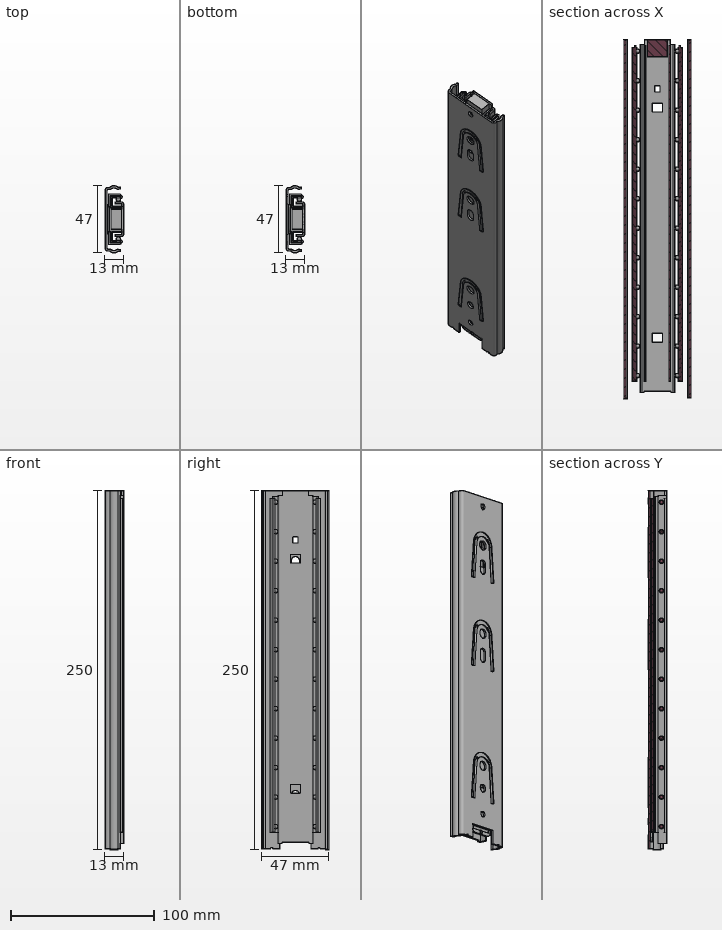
import cadquery as cq
import math


total_length = 250.0
total_width = 46.98
total_depth = 13.0

outer_wall = 1.4
outer_bottom = 0.7
outer_half_width = 22.2
outer_corner = 2.1
bulge_half_width = total_width / 2
bulge_start = 3.3
bulge_end = 9.0
lip_tip = 10.7
lip_tip_half_width = 22.4
bulge_inner_inset = 0.5
bulge_wall = 1.8
end_notch_width = 21.5
end_notch_height = 9.7
edge_nick_offset = 16.5
edge_nick_radius = 0.8

mount_hole_heights = (total_length - 35.2, total_length - 99.2, total_length - 195.2)
mount_hole_diameter = 6.6
slot_drop = 15.8
lowest_slot_drop = 16.3
slot_width = 5.5
slot_length = 10.2
pin_hole_diameter = 4.1
pin_hole_heights = (total_length - 7.1, total_length - 230.3)
arch_outer_radius = 9.6
arch_fold_radius = 8.0
arch_inner_radius = 6.5
arch_leg_angle = 4.9
arch_fold_angle = 3.3
arch_leg_length = 25.2
arch_foot_corner = 1.0
arch_crown_half_width = 5.6
arch_depth = 0.6

middle_base = 1.6
middle_side_base = 2.3
middle_step_half_width = 8.4
middle_step_run = 0.6
middle_wall = 1.4
middle_half_width = 17.6
middle_bottom = total_length - 237.8
middle_top = total_length - 5.3
middle_step_top = total_length - 7.0
middle_lip_tip = 12.2
middle_hook_start = 10.4
middle_hook_half_width = 15.7
middle_hook_end = 11.4
middle_hook_inner = 14.3
middle_hook_wall = 0.9
tongue_half_width = 10.2
tongue_corner = 4.0
tongue_bottom = total_length - 244.6
bead_half_length = 8.2
bead_radius = 1.2
bead_depth = 0.6
bead_height = total_length - 241.0
tongue_hole_diameter = 2.6
tongue_hole_height = tongue_bottom + 1.8

inner_wall = 1.4
inner_half_width = 12.1
inner_corner = 1.6
inner_arm_tip = 7.0
inner_bottom = total_length - 245.7
inner_web_bottom = total_length - 244.8
inner_web_recess_half_width = 9.3
inner_arm_top = total_length - 3.3
inner_tab_half_width = 9.0

upper_window_width = 3.5
upper_window_height = 4.2
upper_window_z = total_length - 34.3
lower_window_width = 7.0
lower_window_height = 6.0
lower_window_bottoms = (total_length - 50.3, total_length - 210.5)

retainer_base = 3.8
retainer_wall = 1.2
retainer_outer = 16.1
retainer_inner = 8.0
retainer_outer_tip = 10.4
retainer_inner_tip = 11.2
retainer_bottom = middle_bottom
retainer_top = total_length - 4.0
ball_radius = 1.6
ball_x = 9.3
ball_y = 13.8
ball_count = 12
ball_end_gap = 4.0

stop_base = 4.0
stop_half_width = 7.0
stop_height = 12.0


def mirrored(half):
    """Complete a profile half on the +Y side by its mirror image."""
    return half.union(half.mirror("XZ"))


def block(x_start, x_end, width, z_bottom, z_top):
    """Box between the given X and Z limits, centred on Y = 0."""
    return (
        cq.Workplane("XY")
        .box(x_end - x_start, width, z_top - z_bottom, centered=(False, True, False))
        .translate((x_start, 0, z_bottom))
    )


def web_plane(x, z):
    """Plane facing +X, with local x along +Y and local y along +Z."""
    return cq.Workplane("YZ", origin=(x, 0, z))


def arch_outline(radius, leg_angle, x, z):
    """Closed arch: round crown and two straight legs that spread downwards at the given angle."""
    angle = math.radians(leg_angle)
    tangent = (radius * math.cos(angle), radius * math.sin(angle))
    foot = radius / math.cos(angle) + arch_leg_length * math.tan(angle)
    return (
        web_plane(x, z)
        .moveTo(-foot, -arch_leg_length)
        .lineTo(-tangent[0], tangent[1])
        .threePointArc((0, radius), tangent)
        .lineTo(foot, -arch_leg_length)
        .close()
    )


def arch_groove(z):
    """U-shaped pressing around a mounting hole: sloped inner wall on the legs, plain crown."""
    band = arch_outline(arch_outer_radius, arch_leg_angle, 0, z).extrude(arch_depth)
    band = band.edges("|X and <Z").fillet(arch_foot_corner)
    crown_core = arch_outline(arch_inner_radius, arch_leg_angle, 0, z).extrude(arch_depth)
    mouth = arch_outline(arch_inner_radius, arch_leg_angle, 0, z).wires().val()
    floor = arch_outline(arch_fold_radius, arch_fold_angle, arch_depth, z).wires().val()
    island = cq.Workplane(cq.Solid.makeLoft([mouth, floor], True))
    crown_zone = block(0, arch_depth, 2 * arch_crown_half_width, z, z + arch_outer_radius)
    legs = band.cut(island).cut(crown_zone)
    crown = band.cut(crown_core).intersect(crown_zone)
    return legs.union(crown)


def outer_half_section():
    """Profile of the outer rail on the +Y side: base, rounded corner and bulged lip."""
    web_edge = outer_half_width - outer_corner
    inner_side = outer_half_width - outer_wall
    bulge_middle = (bulge_start + bulge_end) / 2
    return (
        cq.Workplane("XY")
        .lineTo(0, web_edge)
        .radiusArc((outer_corner, outer_half_width), outer_corner)
        .lineTo(bulge_start, outer_half_width)
        .threePointArc((bulge_middle, bulge_half_width), (bulge_end, outer_half_width))
        .lineTo(lip_tip, lip_tip_half_width)
        .lineTo(lip_tip, lip_tip_half_width - outer_wall)
        .lineTo(bulge_end - bulge_inner_inset, inner_side)
        .threePointArc(
            (bulge_middle, bulge_half_width - bulge_wall),
            (bulge_start + bulge_inner_inset, inner_side),
        )
        .lineTo(outer_corner, inner_side)
        .radiusArc((outer_wall, web_edge), outer_wall - outer_corner)
        .lineTo(outer_wall, 0)
        .close()
    )


def make_outer_rail():
    full_half = outer_half_section().extrude(total_length)
    above_bottom = block(0, total_depth, 2 * total_width, outer_bottom, total_length)
    bulge_zone = block(bulge_start, bulge_end, 2 * total_width, 0, outer_bottom)
    rail = mirrored(full_half.intersect(above_bottom)).union(full_half.intersect(bulge_zone))

    for z in mount_hole_heights:
        rail = rail.cut(arch_groove(z))
        rail = rail.cut(web_plane(0, z).circle(mount_hole_diameter / 2).extrude(outer_wall))
    for z in mount_hole_heights[:-1]:
        slot = web_plane(0, z - slot_drop).slot2D(slot_length, slot_width, 90)
        rail = rail.cut(slot.extrude(outer_wall))
    lowest_slot = web_plane(0, mount_hole_heights[-1] - lowest_slot_drop).circle(slot_width / 2)
    rail = rail.cut(lowest_slot.extrude(outer_wall))
    for z in pin_hole_heights:
        rail = rail.cut(web_plane(0, z).circle(pin_hole_diameter / 2).extrude(outer_wall))

    end_notch = web_plane(0, outer_bottom).rect(end_notch_width, 2 * end_notch_height)
    rail = rail.cut(end_notch.extrude(outer_wall))
    edge_nicks = (
        web_plane(0, outer_bottom)
        .pushPoints([(-edge_nick_offset, 0), (edge_nick_offset, 0)])
        .circle(edge_nick_radius)
        .extrude(outer_wall)
    )
    return rail.cut(edge_nicks)


def rail_windows():
    """Openings through the middle and inner rails behind the mounting holes."""
    half_height = upper_window_height / 2
    windows = block(
        0, total_depth, upper_window_width, upper_window_z - half_height, upper_window_z + half_height
    )
    for bottom in lower_window_bottoms:
        opening = block(0, total_depth, lower_window_width, bottom, bottom + lower_window_height)
        windows = windows.union(opening)
    return windows


def make_middle_rail():
    inner_face = middle_base + middle_wall
    inner_side = middle_half_width - middle_wall
    half = (
        cq.Workplane("XY", origin=(0, 0, middle_bottom))
        .moveTo(middle_base, 0)
        .lineTo(middle_base, middle_step_half_width)
        .lineTo(middle_side_base, middle_step_half_width + middle_step_run)
        .lineTo(middle_side_base, middle_half_width)
        .lineTo(middle_hook_start, middle_half_width)
        .lineTo(middle_lip_tip, middle_hook_half_width)
        .lineTo(middle_hook_end, middle_hook_inner)
        .lineTo(middle_hook_end - middle_hook_wall, middle_hook_inner + middle_hook_wall)
        .lineTo(middle_lip_tip - middle_wall, middle_hook_half_width)
        .lineTo(middle_hook_start, inner_side)
        .lineTo(middle_side_base + middle_wall, inner_side)
        .lineTo(middle_side_base + middle_wall, middle_step_half_width + middle_step_run)
        .lineTo(inner_face, middle_step_half_width)
        .lineTo(inner_face, 0)
        .close()
        .extrude(middle_top - middle_bottom)
    )
    tongue = block(
        middle_base, inner_face, 2 * tongue_half_width, tongue_bottom, middle_bottom + tongue_corner
    )
    tongue = tongue.edges("|X and <Z").fillet(tongue_corner)
    bead = (
        cq.Workplane("XZ")
        .center(middle_base + bead_depth - bead_radius, bead_height)
        .circle(bead_radius)
        .extrude(bead_half_length, both=True)
    )
    tongue_hole = web_plane(middle_base, tongue_hole_height).circle(tongue_hole_diameter / 2)
    top_notch = block(0, middle_lip_tip, 2 * middle_step_half_width, middle_step_top, middle_top)
    return (
        mirrored(half)
        .union(tongue)
        .cut(bead)
        .cut(tongue_hole.extrude(middle_wall))
        .cut(top_notch)
        .cut(rail_windows())
    )


def make_inner_rail():
    web_face = total_depth - inner_wall
    inner_side = inner_half_width - inner_wall
    half = (
        cq.Workplane("XY", origin=(0, 0, inner_bottom))
        .moveTo(total_depth, 0)
        .lineTo(total_depth, inner_half_width - inner_corner)
        .radiusArc((total_depth - inner_corner, inner_half_width), -inner_corner)
        .lineTo(inner_arm_tip, inner_half_width)
        .lineTo(inner_arm_tip, inner_side)
        .lineTo(web_face, inner_side)
        .lineTo(web_face, 0)
        .close()
        .extrude(total_length - inner_bottom)
    )
    end_zone = block(0, total_depth, total_width, inner_arm_top, total_length)
    tab_zone = block(web_face, total_depth, 2 * inner_tab_half_width, inner_arm_top, total_length)
    web_recess = block(
        web_face, total_depth, 2 * inner_web_recess_half_width, inner_bottom, inner_web_bottom
    )
    return (
        mirrored(half)
        .cut(end_zone.cut(tab_zone))
        .cut(web_recess)
        .cut(rail_windows())
    )


def make_retainer(side):
    """C-shaped retainer with its row of balls around one inner rail arm; side is +1 or -1 in Y."""
    outline = [
        (retainer_base, retainer_inner),
        (retainer_inner_tip, retainer_inner),
        (retainer_inner_tip, retainer_inner + retainer_wall),
        (retainer_base + retainer_wall, retainer_inner + retainer_wall),
        (retainer_base + retainer_wall, retainer_outer - retainer_wall),
        (retainer_outer_tip, retainer_outer - retainer_wall),
        (retainer_outer_tip, retainer_outer),
        (retainer_base, retainer_outer),
    ]
    retainer = (
        cq.Workplane("XY", origin=(0, 0, retainer_bottom))
        .polyline([(x, side * y) for x, y in outline])
        .close()
        .extrude(retainer_top - retainer_bottom)
    )
    first_ball = retainer_bottom + ball_end_gap
    pitch = (retainer_top - retainer_bottom - 2 * ball_end_gap) / (ball_count - 1)
    for index in range(ball_count):
        ball = cq.Workplane("XY").sphere(ball_radius)
        retainer = retainer.union(ball.translate((ball_x, side * ball_y, first_ball + index * pitch)))
    return retainer


def make_end_stop():
    return block(
        stop_base,
        total_depth - inner_wall,
        2 * stop_half_width,
        total_length - stop_height,
        total_length,
    )


outer_rail = make_outer_rail()
middle_rail = make_middle_rail()
inner_rail = make_inner_rail()
retainers = [make_retainer(side) for side in (1, -1)]
end_stop = make_end_stop()

result = cq.Compound.makeCompound(
    [
        outer_rail.val(),
        middle_rail.val(),
        inner_rail.val(),
        *[retainer.val() for retainer in retainers],
        end_stop.val(),
    ]
)